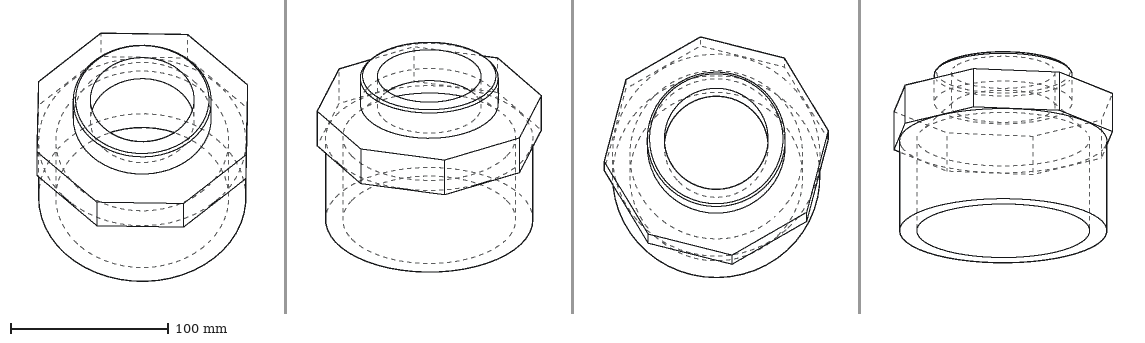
import cadquery as cq
import math

collar_sides = 8
across_flats = 133.0
collar_height = 25.5
across_corners = across_flats / math.cos(math.pi / collar_sides)

body_diameter = 132.0
body_height = 60.2

spigot_diameter = 87.8
spigot_height = 20.2
chamfer_height = 1.6
chamfer_width = 1.5

bore_diameter = 66.0
bore_depth = 22.7
socket_diameter = 110.0
flare_height = (socket_diameter - bore_diameter) / 2

collar_top = body_height + collar_height
total_height = collar_top + spigot_height
flare_top = total_height - bore_depth
socket_depth = flare_top - flare_height


def cylinder(diameter, height, base=0.0):
    return cq.Workplane("XY").workplane(offset=base).circle(diameter / 2).extrude(height)


body = cylinder(body_diameter, body_height)

collar = (
    cq.Workplane("XY")
    .workplane(offset=body_height)
    .polygon(collar_sides, across_corners)
    .extrude(collar_height)
    .rotate((0, 0, 0), (0, 0, 1), 180 / collar_sides)
)

spigot = (
    cylinder(spigot_diameter, spigot_height, collar_top)
    .faces(">Z")
    .edges()
    .chamfer(chamfer_height, chamfer_width)
)

bore = cylinder(bore_diameter, bore_depth, flare_top)
socket = cylinder(socket_diameter, socket_depth)
flare = (
    cq.Workplane("XY")
    .workplane(offset=socket_depth)
    .circle(socket_diameter / 2)
    .workplane(offset=flare_height)
    .circle(bore_diameter / 2)
    .loft(ruled=True)
)

result = body.union(collar).union(spigot).cut(bore).cut(flare).cut(socket)